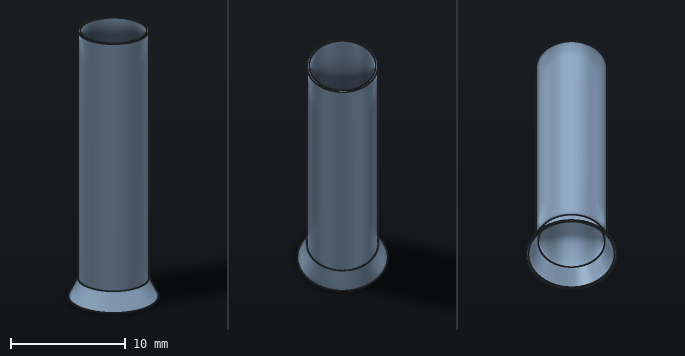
import cadquery as cq

length = 25.0
bore_radius = 2.9
wall = 0.2
flare_outer_radius = 3.95
flare_height = 1.7

tube_radius = bore_radius + wall
flare_inner_radius = flare_outer_radius - wall

half_section = (
    cq.Workplane("XZ")
    .moveTo(flare_inner_radius, 0)
    .lineTo(flare_outer_radius, 0)
    .lineTo(tube_radius, flare_height)
    .lineTo(tube_radius, length)
    .lineTo(bore_radius, length)
    .lineTo(bore_radius, flare_height)
    .close()
)

result = half_section.revolve(360, (0, 0, 0), (0, 1, 0))